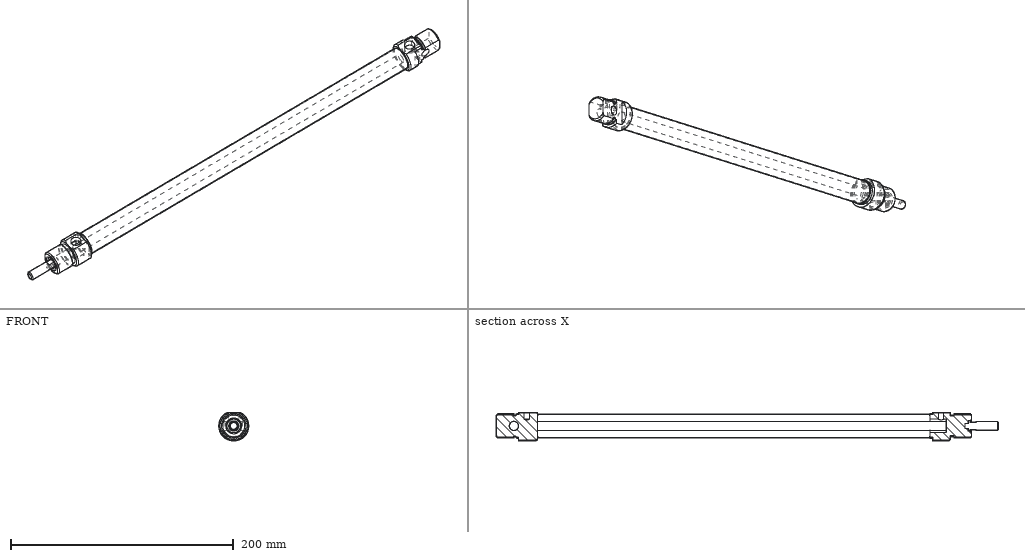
import cadquery as cq


overall_length = 451.0
rod_diameter = 8.0
tube_outer_diameter = 21.27
tube_bore_diameter = 20.0
collar_diameter = 27.0
shoulder_diameter = 22.2
port_flat_height = 12.0
port_diameter = 9.1
collar_rim_diameter = 24.5
collar_chamfer_length = 1.3

rod_tip_diameter = 6.0
rod_tip_chamfer = (rod_diameter - rod_tip_diameter) / 2
wrench_flat_start = 20.0
wrench_flat_width = 7.0

nose_face = 24.0
nose_length = 16.0
nose_diameter = 22.0
nose_face_diameter = 19.7
nose_chamfer = (nose_diameter - nose_face_diameter) / 2
groove_diameter = 19.7
front_collar_start = 43.2
front_collar_end = 59.0
front_cap_end = 61.5
front_port_position = 51.5
recess_mouth_diameter = 14.2
recess_diameter = 12.1
recess_chamfer = (recess_mouth_diameter - recess_diameter) / 2
recess_depth = 3.0
rod_relief_diameter = 9.1
rod_relief_depth = 6.0
chamber_diameter = 14.2
chamber_start = front_port_position - port_diameter / 2

clevis_diameter = 22.0
clevis_width = 16.0
clevis_end_chamfer = 1.5
clevis_flat_length = 27.5
clevis_length = 16.0
neck_diameter = 20.0
neck_end = 17.5
shoulder_taper_end = 18.7
pin_hole_distance = 16.0
pin_hole_diameter = 8.0
rear_collar_start = 20.0
rear_cap_length = 37.3
rear_port_distance = 27.6
rear_port_depth = 6.0
rear_port_point_depth = 3.0

rear_cap_start = overall_length - rear_cap_length


def revolve_about_y(stations):
    """Solid of revolution about Y from (diameter, Y) stations listed in order of Y."""
    outline = [(diameter / 2, y) for diameter, y in stations]
    first_y = stations[0][1]
    last_y = stations[-1][1]
    profile = cq.Workplane("XY").polyline([(0, first_y)] + outline + [(0, last_y)]).close()
    return profile.revolve(360, (0, 0, 0), (0, 1, 0))


def cylinder_along_y(diameter, start, end):
    return revolve_about_y([(diameter, start), (diameter, end)])


def collar(start, end):
    """Collar chamfered at its -Y end, with a flat port seat on its top side."""
    ring = revolve_about_y([
        (collar_rim_diameter, start),
        (collar_diameter, start + collar_chamfer_length),
        (collar_diameter, end),
    ])
    seat_cut = (
        cq.Workplane("XY", origin=(0, (start + end) / 2, port_flat_height))
        .rect(collar_diameter, end - start)
        .extrude(collar_diameter)
    )
    return ring.cut(seat_cut)


def port(y, depth):
    """Vertical port bore going down from the port seat."""
    return (
        cq.Workplane("XY", origin=(0, y, port_flat_height))
        .circle(port_diameter / 2)
        .extrude(-depth)
    )


def make_rod():
    rod = revolve_about_y([
        (rod_tip_diameter, 0),
        (rod_diameter, rod_tip_chamfer),
        (rod_diameter, rear_cap_start),
    ])
    flat_length = nose_face + recess_depth - wrench_flat_start
    for side in (-1, 1):
        flat_cut = cq.Workplane("XY").box(rod_diameter, flat_length, wrench_flat_width)
        rod = rod.cut(flat_cut.translate((0, wrench_flat_start + flat_length / 2, side * wrench_flat_width)))
    return rod


def make_front_cap():
    nose_end = nose_face + nose_length
    cap = revolve_about_y([
        (nose_face_diameter, nose_face),
        (nose_diameter, nose_face + nose_chamfer),
        (nose_diameter, nose_end),
        (groove_diameter, nose_end),
        (groove_diameter, front_collar_start),
        (shoulder_diameter, front_collar_start),
        (shoulder_diameter, front_cap_end),
    ])
    cap = cap.union(collar(front_collar_start, front_collar_end))
    cap = cap.cut(port(front_port_position, port_flat_height))
    recess = revolve_about_y([
        (recess_mouth_diameter, nose_face),
        (recess_diameter, nose_face + recess_chamfer),
        (recess_diameter, nose_face + recess_depth),
    ])
    cap = cap.cut(recess)
    cap = cap.cut(cylinder_along_y(rod_relief_diameter, nose_face, nose_face + rod_relief_depth))
    cap = cap.cut(cylinder_along_y(chamber_diameter, chamber_start, front_cap_end))
    return cap.cut(cylinder_along_y(rod_diameter, nose_face, front_cap_end))


def make_tube():
    outside = cylinder_along_y(tube_outer_diameter, front_cap_end, rear_cap_start)
    return outside.cut(cylinder_along_y(tube_bore_diameter, front_cap_end, rear_cap_start))


def make_rear_cap():
    cap = revolve_about_y([
        (shoulder_diameter, rear_cap_start),
        (shoulder_diameter, overall_length - shoulder_taper_end),
        (neck_diameter, overall_length - neck_end),
        (neck_diameter, overall_length - clevis_length),
        (clevis_diameter, overall_length - clevis_length),
        (clevis_diameter, overall_length - clevis_end_chamfer),
        (clevis_diameter - 2 * clevis_end_chamfer, overall_length),
    ])
    cap = cap.union(collar(rear_cap_start, overall_length - rear_collar_start))
    port_y = overall_length - rear_port_distance
    cap = cap.cut(port(port_y, rear_port_depth))
    drill_point = cq.Solid.makeCone(
        port_diameter / 2,
        0,
        rear_port_point_depth,
        cq.Vector(0, port_y, port_flat_height - rear_port_depth),
        cq.Vector(0, 0, -1),
    )
    cap = cap.cut(cq.Workplane(drill_point))
    for side in (-1, 1):
        flat_cut = cq.Workplane("XY").box(clevis_width, clevis_flat_length, 2 * collar_diameter)
        flat_cut = flat_cut.translate((side * clevis_width, overall_length - clevis_flat_length / 2, 0))
        cap = cap.cut(flat_cut)
    pin_hole = (
        cq.Workplane("YZ", origin=(0, overall_length - pin_hole_distance, 0))
        .circle(pin_hole_diameter / 2)
        .extrude(collar_diameter, both=True)
    )
    return cap.cut(pin_hole)


rod = make_rod()
front_cap = make_front_cap()
tube = make_tube()
rear_cap = make_rear_cap()

result = cq.Compound.makeCompound([rod.val(), front_cap.val(), tube.val(), rear_cap.val()])